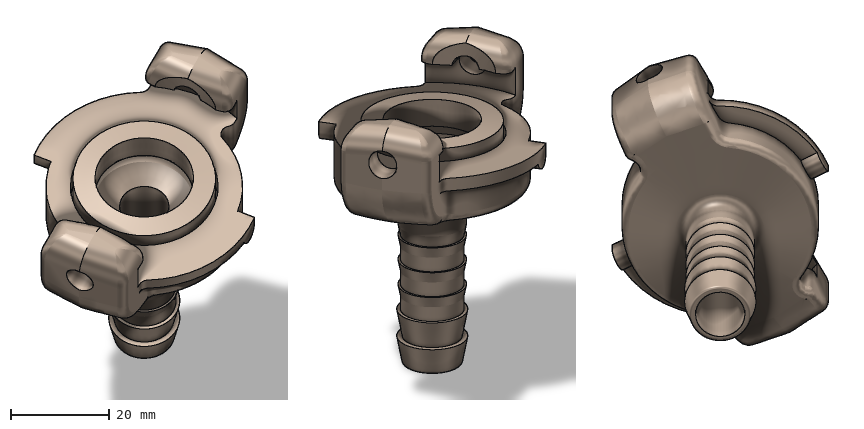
import cadquery as cq
import math

CLAW_TOP_Z = 12.3
HOOK_UNDER_Z = 6.0
HOSE_END_Z = CLAW_TOP_Z - 63.3

BODY_R = 20.0
FLANGE_R = 23.76
FLANGE_T = 2.8
STOP_R = 2.45
STOP_DEPTH = 4.55
CONE_ANGLE = 15
CONE_APEX_Z = -16.5
EDGE_R = 1.9
ROOT_R = 3.0
FLANGE_ROOT_R = 2.0
RELIEF_R = 2.0
RELIEF_X = 10.3

CLAW_HALF_W = 9.75
CLAW_REACH = 31
HOOK_INNER_Y = 18.7
FACE_TILT = 7.5
CLAW_BEND_R = 10.45
CROWN_R = 5.0
POCKET_R = 25.5
HOOK_TIP_R = 20.75
PIN_HOLE_D = 6.0
PIN_HOLE_Z = 5.45

NECK_D = 14.0
NECK_FILLET_R = 3.0
NECK_END_Z = -20.1
STEM_D = 13.0
BARB_TOP_Z = -22.6
BARB_LENGTH = 2.4
BARB_PITCH = 5.5
BARB_COUNT = 3
END_BARB_D = 14.5
END_BARB_TIP_D = 12.2
END_BARB_COUNT = 2
TAIL_END_R = 0.75
BORE_D = 10.0

RECESS_D = 30.0
RECESS_DEPTH = 5.25
RING_D = 29.0
RING_BORE_D = 20.0
RING_RIM_Z = 2.65
RING_TOP_Z = 3.0
RING_RELIEF_D = 23.15
RING_RELIEF_Z = -3.0
FUNNEL_ANGLE = 18

TILT = math.tan(math.radians(FACE_TILT))
CONE_SLOPE = math.tan(math.radians(CONE_ANGLE))
CLAW_CORNER_DROP = CLAW_HALF_W * TILT


def cone_z(radius):
    """Height of the underside cone at a radius."""
    return CONE_APEX_Z + radius * CONE_SLOPE


def disc(diameter, z_from, z_to):
    """Cylinder about Z between two heights."""
    return cq.Workplane("XY").workplane(offset=z_from).circle(diameter / 2).extrude(z_to - z_from)


def half_turn(shape):
    """Copy of a shape turned half a turn about Z."""
    return shape.rotate((0, 0, 0), (0, 0, 1), 180)


def root_fillet(disc_r, fillet_r):
    """Fillet between a claw's -X wall and a disc: its points on the wall, mid-arc and on the disc."""
    center_x = CLAW_HALF_W + fillet_r
    center_y = math.sqrt((disc_r + fillet_r) ** 2 - center_x**2)
    mid_angle = math.pi + math.atan2(center_y, center_x) / 2
    to_disc = disc_r / (disc_r + fillet_r)
    on_wall = (-CLAW_HALF_W, center_y)
    middle = (-center_x - fillet_r * math.cos(mid_angle), center_y + fillet_r * math.sin(mid_angle))
    on_disc = (-center_x * to_disc, center_y * to_disc)
    return on_wall, middle, on_disc


def relief_curve():
    """S-curve from the body disc to a claw's +X wall: a hollow arc, then a round one of equal radius."""
    hollow_y = math.sqrt((BODY_R + RELIEF_R) ** 2 - RELIEF_X**2)
    round_x = CLAW_HALF_W - RELIEF_R
    round_y = hollow_y + math.sqrt((2 * RELIEF_R) ** 2 - (RELIEF_X - round_x) ** 2)
    mid_angle = math.atan2(hollow_y - round_y, RELIEF_X - round_x) / 2
    to_disc = BODY_R / (BODY_R + RELIEF_R)
    start = (RELIEF_X * to_disc, hollow_y * to_disc)
    deepest = (RELIEF_X - RELIEF_R, hollow_y)
    change = ((RELIEF_X + round_x) / 2, (hollow_y + round_y) / 2)
    bulge = (round_x + RELIEF_R * math.cos(mid_angle), round_y + RELIEF_R * math.sin(mid_angle))
    end = (CLAW_HALF_W, round_y)
    return start, deepest, change, bulge, end


def body_plan():
    """Outline of the body disc with both claws; the second half is the first one turned half a turn."""
    start, deepest, change, bulge, relief_end = relief_curve()
    on_wall, root_middle, on_disc = root_fillet(BODY_R, ROOT_R)
    corner_y = CLAW_REACH - CLAW_CORNER_DROP
    outline = cq.Workplane("XY").moveTo(*start)
    for sign in (1, -1):

        def at(point):
            return (sign * point[0], sign * point[1])

        outline = (
            outline.threePointArc(at(deepest), at(change))
            .threePointArc(at(bulge), at(relief_end))
            .lineTo(*at((CLAW_HALF_W, corner_y)))
            .lineTo(*at((0, CLAW_REACH)))
            .lineTo(*at((-CLAW_HALF_W, corner_y)))
            .lineTo(*at(on_wall))
            .threePointArc(at(root_middle), at(on_disc))
            .threePointArc(at((-BODY_R, 0)), at((-start[0], -start[1])))
        )
    return outline.close()


def body():
    """Disc and lower claws on the underside cone, with bent claw backs and a rounded lower rim."""
    cone_r = 1.2 * CLAW_REACH
    cone = (
        cq.Workplane("XZ")
        .polyline([(0, 0), (0, CONE_APEX_Z), (cone_r, cone_z(cone_r)), (cone_r, 0)])
        .close()
        .revolve()
    )
    shape = body_plan().extrude(CONE_APEX_Z).intersect(cone)

    back = cq.selectors.BoxSelector((-63.3, 29.1, -12.65), (63.3, 63.3, -3.15))
    front = cq.selectors.BoxSelector((-63.3, -63.3, -12.65), (63.3, -29.1, -3.15))
    bends = [e for e in shape.edges(back + front).vals() if abs(e.tangentAt(0.5).x) > 0.5]
    shape = shape.newObject(bends).fillet(CLAW_BEND_R)

    curved = shape.edges("%CIRCLE or %BSPLINE").vals()
    rim = [e for e in curved if e.Center().z < -6.3 and e.BoundingBox().xlen > 9.5]
    return shape.newObject(rim).fillet(EDGE_R)


def claw_head():
    """Upper block of the +Y claw: ridged on its top, its back and its front, with a rounded crown."""
    w = CLAW_HALF_W
    drop = CLAW_CORNER_DROP
    block = (
        cq.Workplane("XY")
        .polyline([
            (0, HOOK_INNER_Y), (w, HOOK_INNER_Y + drop), (w, CLAW_REACH - drop),
            (0, CLAW_REACH), (-w, CLAW_REACH - drop), (-w, HOOK_INNER_Y + drop),
        ])
        .close()
        .extrude(CLAW_TOP_Z)
    )
    roof = (
        cq.Workplane("XZ")
        .polyline([(-w, 0), (w, 0), (w, CLAW_TOP_Z - drop), (0, CLAW_TOP_Z), (-w, CLAW_TOP_Z - drop)])
        .close()
        .extrude(-CLAW_REACH)
    )
    head = block.intersect(roof)
    crown = [e for e in head.edges().vals() if e.Center().z > CLAW_TOP_Z - 1.9 and abs(e.Center().x) > 0.65]
    head = head.newObject(crown).fillet(CROWN_R)
    corners = [e for e in head.edges("|Z").vals() if abs(e.Center().x) > w - 0.65]
    return head.newObject(corners).fillet(EDGE_R)


def hook_space():
    """Space under and in front of the hooks."""
    pocket = disc(2 * POCKET_R, 0, HOOK_UNDER_Z)
    throat = disc(2 * HOOK_TIP_R, 0, CLAW_TOP_Z)
    return pocket.union(throat)


def flange_wing():
    """Flange on the -X side, from the +Y claw to a stop lug rounded on its underside."""
    on_wall, root_middle, on_disc = root_fillet(FLANGE_R, FLANGE_ROOT_R)
    stop_x = -math.sqrt(FLANGE_R**2 - STOP_R**2)
    lug_z = STOP_R - STOP_DEPTH
    lug_side_y = math.sqrt(STOP_R**2 - (FLANGE_T + lug_z) ** 2)
    plan = (
        cq.Workplane("XY")
        .moveTo(0, -STOP_R)
        .lineTo(stop_x, -STOP_R)
        .threePointArc((-FLANGE_R * math.sqrt(0.5), FLANGE_R * math.sqrt(0.5)), on_disc)
        .threePointArc(root_middle, on_wall)
        .lineTo(0, on_wall[1])
        .close()
        .extrude(-STOP_DEPTH)
    )
    section = (
        cq.Workplane("YZ")
        .moveTo(-STOP_R, 0)
        .lineTo(-STOP_R, lug_z)
        .threePointArc((0, -STOP_DEPTH), (lug_side_y, -FLANGE_T))
        .lineTo(CLAW_REACH, -FLANGE_T)
        .lineTo(CLAW_REACH, 0)
        .close()
        .extrude(-CLAW_REACH)
    )
    return plan.intersect(section)


def hose_tail():
    """Filleted neck, three small barbs and two end barbs, as one turned solid."""
    neck_r = NECK_D / 2
    turn = math.radians(90 - CONE_ANGLE)
    center_x = neck_r + NECK_FILLET_R
    center_z = cone_z(center_x) - NECK_FILLET_R / math.cos(math.radians(CONE_ANGLE))
    on_cone_angle = math.pi - turn
    mid_angle = math.pi - turn / 2

    def on_fillet(angle):
        return (center_x + NECK_FILLET_R * math.cos(angle), center_z + NECK_FILLET_R * math.sin(angle))

    top = on_fillet(on_cone_angle)
    profile = (
        cq.Workplane("XZ")
        .moveTo(0, top[1] + 0.65)
        .lineTo(top[0], top[1] + 0.65)
        .lineTo(*top)
        .threePointArc(on_fillet(mid_angle), (neck_r, center_z))
        .lineTo(neck_r, NECK_END_Z)
        .lineTo(STEM_D / 2, BARB_TOP_Z)
    )
    for i in range(BARB_COUNT):
        z = BARB_TOP_Z - i * BARB_PITCH
        profile = (
            profile.lineTo(neck_r, z).lineTo(STEM_D / 2, z - BARB_LENGTH).lineTo(STEM_D / 2, z - BARB_PITCH)
        )
    end_top_z = BARB_TOP_Z - BARB_COUNT * BARB_PITCH
    end_pitch = (end_top_z - HOSE_END_Z) / END_BARB_COUNT
    for i in range(END_BARB_COUNT):
        z = end_top_z - i * end_pitch
        profile = profile.lineTo(END_BARB_D / 2, z).lineTo(END_BARB_TIP_D / 2, z - end_pitch)
    tail = profile.lineTo(0, HOSE_END_Z).close().revolve(360, (0, 0, 0), (0, 1, 0))
    return tail.faces("<Z").edges().fillet(TAIL_END_R)


def bore():
    """Recess for the seal ring, funnel below it and the bore through the tail."""
    recess = disc(RECESS_D, -RECESS_DEPTH, 0)
    funnel_h = (RING_BORE_D - BORE_D) / 2 * math.tan(math.radians(FUNNEL_ANGLE))
    funnel = cq.Workplane("XY").add(
        cq.Solid.makeCone(BORE_D / 2, RING_BORE_D / 2, funnel_h, cq.Vector(0, 0, -RECESS_DEPTH - funnel_h))
    )
    return recess.union(funnel).union(disc(BORE_D, HOSE_END_Z, -RECESS_DEPTH))


def coupling():
    """Body, claws, flange wings and hose tail in one piece, with the bore and the pin holes cut."""
    upper = claw_head().cut(hook_space())
    half = upper.union(flange_wing())
    shape = body().union(half).union(half_turn(half)).union(hose_tail())
    pin_holes = (
        cq.Workplane("XZ").center(0, PIN_HOLE_Z).circle(PIN_HOLE_D / 2).extrude(CLAW_REACH, both=True)
    )
    return shape.cut(bore()).cut(pin_holes)


def seal_ring():
    """Ring with a sloping top face and a wider bore at its lower end."""
    return (
        cq.Workplane("XZ")
        .polyline([
            (RING_BORE_D / 2, RING_TOP_Z),
            (RING_D / 2, RING_RIM_Z),
            (RING_D / 2, -RECESS_DEPTH),
            (RING_RELIEF_D / 2, -RECESS_DEPTH),
            (RING_RELIEF_D / 2, RING_RELIEF_Z),
            (RING_BORE_D / 2, RING_RELIEF_Z),
        ])
        .close()
        .revolve(360, (0, 0, 0), (0, 1, 0))
    )


result = cq.Compound.makeCompound([coupling().val(), seal_ring().val()])